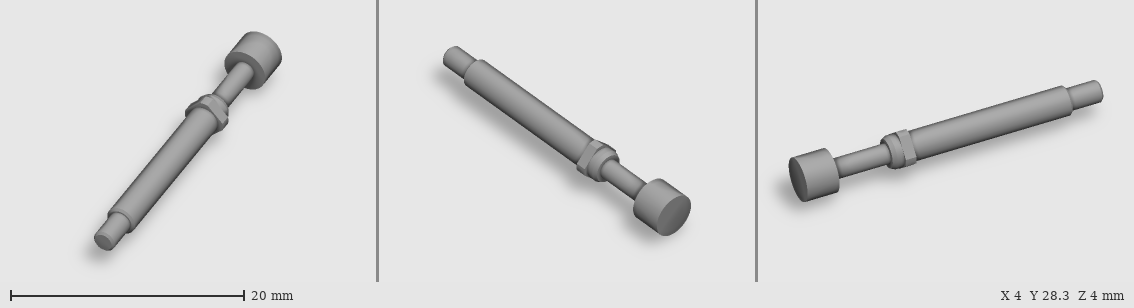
import cadquery as cq

total_length = 28.3

tail_diameter = 2.0
barrel_diameter = 2.7
nut_corner_diameter = 3.7
nut_across_flats = 3.08
collar_diameter = 3.03
collar_rim_diameter = 2.65
stem_diameter = 1.85
head_diameter = 4.0

tail_length = 3.0
barrel_length = 15.0
nut_length = 1.0
collar_length = 1.02
collar_taper_length = 0.4
head_length = 3.0

edge_chamfer = 0.2

barrel_start = tail_length
nut_start = barrel_start + barrel_length
collar_start = nut_start + nut_length
stem_start = collar_start + collar_length
head_start = total_length - head_length


def cross_section(y):
    """Workplane across the axis at position y, with its normal towards +Y."""
    return cq.Workplane(cq.Plane(origin=(0, y, 0), xDir=(1, 0, 0), normal=(0, 1, 0)))


def round_bar(start, length, diameter):
    return cross_section(start).circle(diameter / 2).extrude(length)


def chamfered_bar(start, length, diameter):
    """Round bar with a chamfer on its tail-side edge."""
    return round_bar(start, length, diameter).edges("<Y").chamfer(edge_chamfer)


def square_nut():
    """Round disc cut by four flats, with its corners on the X and Z axes."""
    square = cross_section(nut_start).rect(nut_across_flats, nut_across_flats).extrude(nut_length)
    square = square.rotate((0, 0, 0), (0, 1, 0), 45)
    return round_bar(nut_start, nut_length, nut_corner_diameter).intersect(square)


def tapered_collar():
    """Round collar that narrows to a smaller rim on the head side."""
    taper_start = collar_length - collar_taper_length
    outline = [
        (0, 0),
        (collar_diameter / 2, 0),
        (collar_diameter / 2, taper_start),
        (collar_rim_diameter / 2, collar_length),
        (0, collar_length),
    ]
    collar = cq.Workplane("XY").polyline(outline).close().revolve(360, (0, 0, 0), (0, 1, 0))
    return collar.translate((0, collar_start, 0))


tail = chamfered_bar(0, tail_length, tail_diameter)
barrel = chamfered_bar(barrel_start, barrel_length, barrel_diameter)
stem = round_bar(stem_start, head_start - stem_start, stem_diameter)
head = round_bar(head_start, head_length, head_diameter)

result = tail.union(barrel).union(square_nut()).union(tapered_collar()).union(stem).union(head)